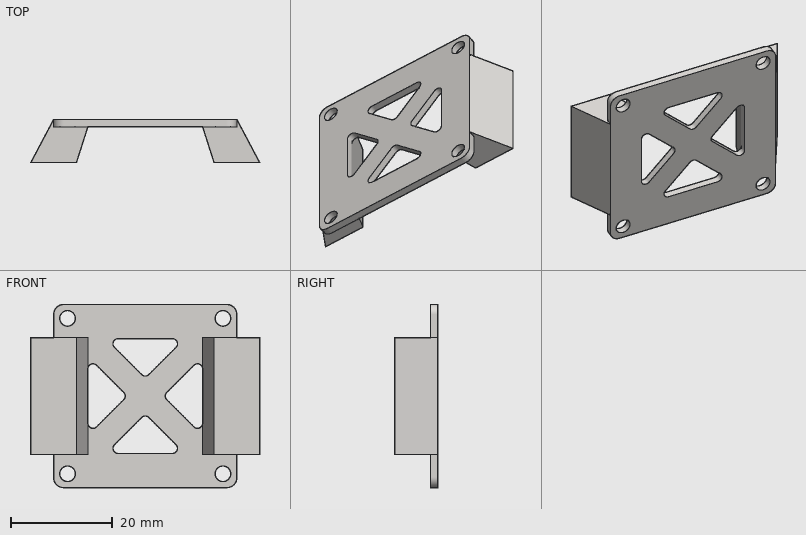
import cadquery as cq
import math

plate_side = 36.0
plate_thickness = 1.5
corner_radius = 2.0
hole_diameter = 3.0
hole_spacing = 30.5

window_reach = 11.25
strut_width = 5.0
window_corner_radius = 1.0

overall_width = 45.0
overall_depth = 8.5
leg_length = 22.95
foot_width = 9.0


def make_plate():
    """Plate with rounded corners and a mounting hole near each corner."""
    plate = (
        cq.Workplane("XZ")
        .rect(plate_side, plate_side)
        .extrude(plate_thickness)
        .edges("|Y")
        .fillet(corner_radius)
    )
    holes = (
        cq.Workplane("XZ")
        .rect(hole_spacing, hole_spacing, forConstruction=True)
        .vertices()
        .circle(hole_diameter / 2)
        .extrude(plate_thickness)
    )
    return plate.cut(holes)


def make_window():
    """Upper window: a right-angled triangle pointing at the plate centre."""
    apex_height = strut_width / math.sqrt(2)
    half_base = window_reach - apex_height
    return (
        cq.Workplane("XZ")
        .moveTo(0, apex_height)
        .lineTo(half_base, window_reach)
        .lineTo(-half_base, window_reach)
        .close()
        .extrude(plate_thickness)
        .edges("|Y")
        .fillet(window_corner_radius)
    )


def make_leg():
    """Leg on the +X side, leaning outward from the plate to its foot."""
    foot_outer = overall_width / 2
    foot_inner = foot_outer - foot_width
    return (
        cq.Workplane("XY")
        .moveTo(plate_side / 2, 0)
        .lineTo(foot_outer, -overall_depth)
        .lineTo(foot_inner, -overall_depth)
        .lineTo(window_reach, -plate_thickness)
        .lineTo(window_reach, 0)
        .close()
        .extrude(leg_length / 2, both=True)
    )


result = make_plate()

window = make_window()
for quarter_turn in range(4):
    result = result.cut(window.rotate((0, 0, 0), (0, 1, 0), 90 * quarter_turn))

leg = make_leg()
result = result.union(leg).union(leg.mirror("YZ"))